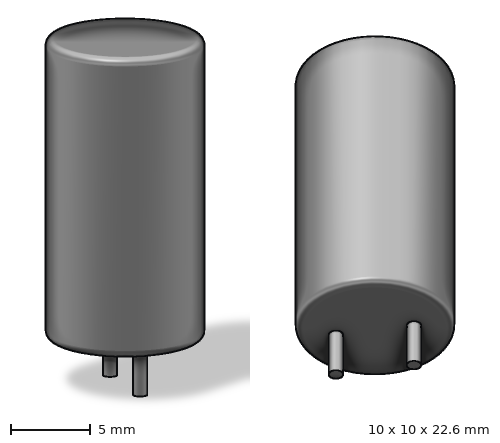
import cadquery as cq

total_height = 22.6
can_diameter = 10.0
can_height = 19.5
rim_radius = 0.5

lead_diameter = 0.9
lead_spacing = 5.0
lead_length = total_height - can_height


def make_can():
    """Upright cylinder standing on Z = 0, with both rims rounded."""
    can = cq.Workplane("XY").circle(can_diameter / 2).extrude(can_height)
    return can.edges("%CIRCLE").fillet(rim_radius)


def make_leads():
    """Pair of round leads along X, hanging from the underside of the can."""
    lead_centres = [(-lead_spacing / 2, 0), (lead_spacing / 2, 0)]
    return (
        cq.Workplane("XY")
        .pushPoints(lead_centres)
        .circle(lead_diameter / 2)
        .extrude(-lead_length)
    )


result = make_can().union(make_leads())